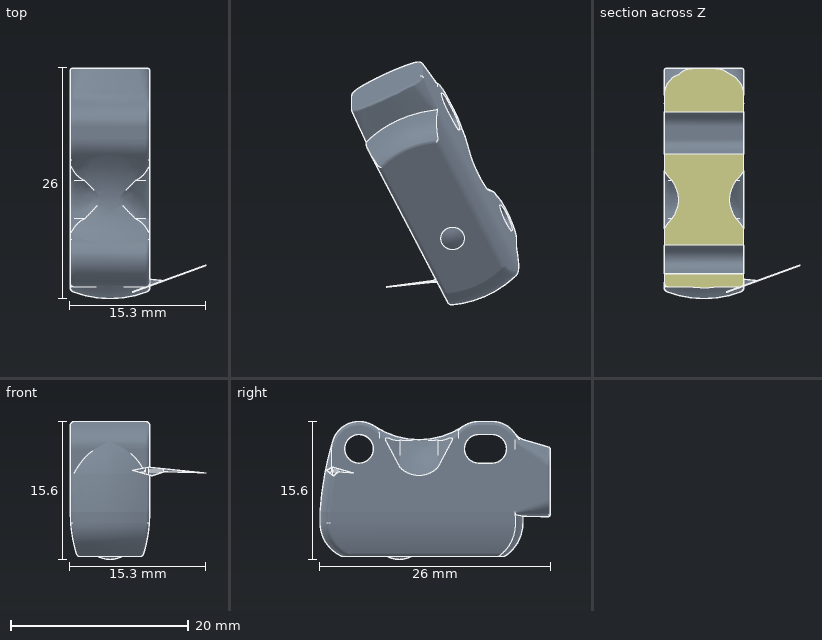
import cadquery as cq
import math

half_width = 4.5

lobe_radius = 3.1
hole_radius = 1.6
slot_near_y = 13.5
slot_far_y = 15.0
lobe_round = 0.5

valley_y = slot_near_y / 2
saddle_radius = 9.0
saddle_side_angle_deg = 48.0
valley_half_width = 2.15
valley_edge_z = -2.07
valley_floor_z = -3.0
waist_half_width = 0.75
shoulder_x = 2.8
shoulder_floor_z = 0.1
valley_top_z = 4.0

tub_top_z = -7.13
tub_bottom_z = -12.15
tub_straight_z = -8.33
tub_bottom_half_width = 3.7
crown_radius = 11.7
nose_y = -4.42
nose_mid_y = -3.87
nose_mid_z = -2.8
nose_top_y = -2.94
nose_top_z = 0.98
front_toe_y = -1.9
rear_y = 18.5
rear_toe_y = 16.4
tub_edge_round = 0.5
tub_height = nose_top_z - tub_bottom_z
tub_end_margin = 1.0

tail_end_y = 21.57
tail_root_y = 17.6
tail_end_top = (0.16, 3.2, -0.35, -2.2)
tail_end_bottom = (-7.69, 3.2, -7.4, -5.7)
tail_root_top = (1.32, 4.1, 1.1, 0.68)
tail_root_bottom = (-7.6, 4.1, -7.45, -7.2)
tail_end_round = 0.3
tail_crease_round = 1.8
crease_half_width = 4.3

button_y = 4.54
button_radius = 1.34
button_height = 0.33

spur_tip_x = 10.82
spur_tip_y = -0.65
spur_tip_z = -2.72
spur_root_x = 2.53
spur_root_z = -2.42
spur_slope_deg = 20.0
spur_thickness = 0.08
spur_top_z = -2.06
spur_low_z = -3.05
spur_neck_x = 6.1
spur_neck_z = -2.6
spur_wall_x = 4.4
spur_low_x = 4.75
spur_web_y = -2.2
spur_web_height = 0.2


def prism(sketch):
    """Extrude a YZ outline across the full width."""
    return sketch.extrude(half_width, both=True)


def yz():
    return cq.Workplane("YZ")


def tangent_point(center_y, edge_y):
    """Point where the valley flank from the valley edge touches a lobe circle."""
    dy = center_y - edge_y
    dz = -valley_edge_z
    reach = math.hypot(dy, dz)
    flank_length = math.sqrt(reach**2 - lobe_radius**2)
    angle = math.atan2(dz, abs(dy)) + math.asin(lobe_radius / reach)
    return (
        edge_y + math.copysign(flank_length * math.cos(angle), dy),
        valley_edge_z + flank_length * math.sin(angle),
    )


def rounded_lobe(outline):
    return prism(outline).faces("<X or >X").edges().fillet(lobe_round)


def make_front_lobe():
    edge_y = valley_y - valley_half_width
    outline = (
        yz()
        .moveTo(-lobe_radius, tub_top_z)
        .lineTo(-lobe_radius, 0)
        .threePointArc((0, lobe_radius), tangent_point(0, edge_y))
        .lineTo(edge_y, valley_edge_z)
        .lineTo(edge_y, tub_top_z)
        .close()
    )
    return rounded_lobe(outline)


def make_rear_lobe():
    edge_y = valley_y + valley_half_width
    diagonal = lobe_radius * math.sqrt(0.5)
    outline = (
        yz()
        .moveTo(slot_far_y + lobe_radius, tub_top_z)
        .lineTo(slot_far_y + lobe_radius, 0)
        .threePointArc((slot_far_y + diagonal, diagonal), (slot_far_y, lobe_radius))
        .lineTo(slot_near_y, lobe_radius)
        .threePointArc((slot_near_y - diagonal, diagonal), tangent_point(slot_near_y, edge_y))
        .lineTo(edge_y, valley_edge_z)
        .lineTo(edge_y, tub_top_z)
        .close()
    )
    return rounded_lobe(outline)


def make_core():
    """Full-width block under the lobes, hollowed by the valley floor arc."""
    outline = (
        yz()
        .moveTo(0, tub_top_z)
        .lineTo(0, valley_edge_z)
        .lineTo(valley_y - valley_half_width, valley_edge_z)
        .threePointArc((valley_y, valley_floor_z), (valley_y + valley_half_width, valley_edge_z))
        .lineTo(tail_root_y, valley_edge_z)
        .lineTo(tail_root_y, tub_top_z)
        .close()
    )
    return prism(outline)


def valley_section(x, floor_z):
    """Valley profile at x: round floor and straight flanks, open above the lobes."""
    edge_z = valley_edge_z + floor_z - valley_floor_z
    near_y = valley_y - valley_half_width
    far_y = valley_y + valley_half_width
    touch_y, touch_z = tangent_point(0, near_y)
    flank_run = (near_y - touch_y) / (touch_z - valley_edge_z)
    spread = flank_run * (valley_top_z - edge_z)
    wire = (
        cq.Workplane("YZ", origin=(x, 0, 0))
        .moveTo(near_y - spread, valley_top_z)
        .lineTo(near_y, edge_z)
        .threePointArc((valley_y, floor_z), (far_y, edge_z))
        .lineTo(far_y + spread, valley_top_z)
        .close()
    )
    return wire.val()


def saddle_arc(touch_angle):
    """Touch point on the front lobe and floor height of the arc tangent to both lobes.

    The angle locates the touch point on the lobe, measured from its crest.
    """
    radius = valley_y / math.sin(touch_angle) - lobe_radius
    floor_z = valley_y / math.tan(touch_angle) - radius
    touch_y = lobe_radius * math.sin(touch_angle)
    touch_z = lobe_radius * math.cos(touch_angle)
    return touch_y, touch_z, floor_z


def ridge_section(x, touch_angle):
    touch_y, touch_z, floor_z = saddle_arc(touch_angle)
    wire = (
        cq.Workplane("YZ", origin=(x, 0, 0))
        .moveTo(touch_y, touch_z)
        .threePointArc((valley_y, floor_z), (slot_near_y - touch_y, touch_z))
        .lineTo(slot_near_y - touch_y, tub_top_z)
        .lineTo(touch_y, tub_top_z)
        .close()
    )
    return wire.val()


def make_saddle():
    """Ridge between the lobes, lower at its sides and cut there by a deepening valley."""
    middle_angle = math.asin(valley_y / (lobe_radius + saddle_radius))
    side_angle = math.radians(saddle_side_angle_deg)
    ridge_sections = [
        ridge_section(-half_width, side_angle),
        ridge_section(0, middle_angle),
        ridge_section(half_width, side_angle),
    ]
    ridge = cq.Workplane(cq.Solid.makeLoft(ridge_sections, False))
    ridge = ridge.faces("<X or >X").edges(">Z").fillet(lobe_round)

    middle_floor_z = saddle_arc(middle_angle)[2]
    valley_sections = [
        valley_section(waist_half_width, middle_floor_z),
        valley_section(shoulder_x, shoulder_floor_z),
        valley_section(half_width, valley_floor_z),
    ]
    valley = cq.Workplane(cq.Solid.makeLoft(valley_sections, False))
    return ridge.cut(valley).cut(valley.mirror("YZ"))


def crowned_end(profile, axis_y, away):
    """Revolve an end profile about a vertical axis and continue it as a block.

    The block runs along Y from the axis, towards +Y or -Y as away is 1 or -1,
    so that only the crowned end limits a body it is intersected with.
    """
    span = 2 * crown_radius
    crown = profile.revolve(360, (axis_y, 0), (axis_y, 1))
    block = cq.Workplane().box(span, span, tub_height, centered=(True, True, False))
    return crown.union(block.translate((0, axis_y + away * span / 2, tub_bottom_z)))


def make_front_end():
    axis_y = nose_y + crown_radius
    profile = (
        yz()
        .moveTo(axis_y, nose_top_z)
        .lineTo(nose_top_y, nose_top_z)
        .threePointArc((nose_mid_y, nose_mid_z), (nose_y, tub_top_z))
        .lineTo(nose_y, tub_straight_z)
        .tangentArcPoint((front_toe_y, tub_bottom_z), relative=False)
        .lineTo(axis_y, tub_bottom_z)
        .close()
    )
    return crowned_end(profile, axis_y, 1)


def make_rear_end():
    axis_y = rear_y - crown_radius
    profile = (
        yz()
        .moveTo(axis_y, nose_top_z)
        .lineTo(rear_y, nose_top_z)
        .lineTo(rear_y, tub_straight_z)
        .tangentArcPoint((rear_toe_y, tub_bottom_z), relative=False)
        .lineTo(axis_y, tub_bottom_z)
        .close()
    )
    return crowned_end(profile, axis_y, -1)


def make_tub_walls():
    """Long body whose sides are upright above the tub top and curve inwards below it."""
    inset = half_width - tub_bottom_half_width
    depth = tub_top_z - tub_bottom_z
    side_radius = (inset**2 + depth**2) / (2 * inset)
    mid_angle = math.asin(depth / side_radius) / 2
    mid_x = half_width - side_radius * (1 - math.cos(mid_angle))
    mid_z = tub_top_z - side_radius * math.sin(mid_angle)
    return (
        cq.Workplane("XZ", origin=(0, rear_y + tub_end_margin, 0))
        .moveTo(-half_width, nose_top_z)
        .lineTo(-half_width, tub_top_z)
        .threePointArc((-mid_x, mid_z), (-tub_bottom_half_width, tub_bottom_z))
        .lineTo(tub_bottom_half_width, tub_bottom_z)
        .threePointArc((mid_x, mid_z), (half_width, tub_top_z))
        .lineTo(half_width, nose_top_z)
        .close()
        .extrude(rear_y - nose_y + 2 * tub_end_margin)
    )


def make_tub():
    tub = make_tub_walls().intersect(make_front_end()).intersect(make_rear_end())
    tub = tub.faces("<X or >X").edges("not #X").fillet(tub_edge_round)
    tub = tub.faces("<Z").edges().fillet(tub_edge_round)

    length = rear_y + tub_end_margin
    width = 2 * half_width + tub_end_margin
    upper = cq.Workplane().box(width, length, tub_height, centered=(True, False, False))
    return tub.cut(upper.translate((0, 0, tub_top_z)))


def crown_tangent(rise, crown_half_width):
    """Direction of a crown arc, with the given rise, at its outer end."""
    angle = 2 * math.atan(rise / crown_half_width)
    return math.cos(angle), math.sin(angle)


def tail_section(y, top, bottom):
    """Tail cross-section: crowned top and bottom, corners blending into upright sides.

    Each of top and bottom is (middle z, crown half width, crown edge z, side z).
    """
    top_z, top_x, top_edge_z, top_side_z = top
    bottom_z, bottom_x, bottom_edge_z, bottom_side_z = bottom
    top_dx, top_dz = crown_tangent(top_z - top_edge_z, top_x)
    bottom_dx, bottom_dz = crown_tangent(bottom_edge_z - bottom_z, bottom_x)
    up = (0, 1)
    down = (0, -1)

    right_bottom = [(bottom_x, bottom_edge_z), (half_width, bottom_side_z)]
    right_top = [(half_width, top_side_z), (top_x, top_edge_z)]
    left_top = [(-top_x, top_edge_z), (-half_width, top_side_z)]
    left_bottom = [(-half_width, bottom_side_z), (-bottom_x, bottom_edge_z)]
    wire = (
        cq.Workplane("XZ", origin=(0, y, 0))
        .moveTo(*left_bottom[1])
        .threePointArc((0, bottom_z), right_bottom[0])
        .spline(right_bottom, tangents=[(bottom_dx, bottom_dz), up])
        .lineTo(*right_top[0])
        .spline(right_top, tangents=[up, (-top_dx, top_dz)])
        .threePointArc((0, top_z), left_top[0])
        .spline(left_top, tangents=[(-top_dx, -top_dz), down])
        .lineTo(*left_bottom[0])
        .spline(left_bottom, tangents=[down, (bottom_dx, -bottom_dz)])
        .close()
    )
    return wire.val()


def make_tail():
    root = tail_section(tail_root_y, tail_root_top, tail_root_bottom)
    end = tail_section(tail_end_y, tail_end_top, tail_end_bottom)
    tail = cq.Workplane(cq.Solid.makeLoft([root, end], True))
    return tail.faces(">Y").edges().fillet(tail_end_round)


def make_tail_with_lobe():
    """Rear lobe and tail joined, with the crease between them rounded."""
    joined = make_rear_lobe().union(make_tail())
    crease_high_z = tail_root_top[0]
    crease_low_z = tail_root_top[3]
    crease = cq.selectors.BoxSelector(
        (-crease_half_width, tail_root_y, crease_low_z),
        (crease_half_width, slot_far_y + lobe_radius, crease_high_z),
    )
    return joined.edges(crease).fillet(tail_crease_round)


def make_button():
    ball_radius = (button_radius**2 + button_height**2) / (2 * button_height)
    center_z = tub_bottom_z - button_height + ball_radius
    return cq.Workplane().sphere(ball_radius).translate((0, button_y, center_z))


def make_spur():
    """Thin pointed blade running out from the nose, with a small web at its root."""
    slope = math.tan(math.radians(spur_slope_deg))
    root_y = spur_tip_y - slope * (spur_tip_x - spur_root_x)

    def along(x):
        return (x - spur_root_x) / math.cos(math.radians(spur_slope_deg))

    blade_plane = cq.Plane(
        origin=(spur_root_x, root_y, 0),
        xDir=(1, slope, 0),
        normal=(slope, -1, 0),
    )
    blade = (
        cq.Workplane(blade_plane)
        .moveTo(along(spur_root_x), spur_root_z)
        .lineTo(along(spur_wall_x), spur_top_z)
        .lineTo(along(spur_tip_x), spur_tip_z)
        .lineTo(along(spur_neck_x), spur_neck_z)
        .lineTo(along(spur_low_x), spur_low_z)
        .close()
        .extrude(spur_thickness / 2, both=True)
    )
    web = (
        cq.Workplane(origin=(0, 0, spur_neck_z))
        .moveTo(spur_wall_x, spur_web_y)
        .lineTo(spur_neck_x, root_y + slope * (spur_neck_x - spur_root_x))
        .lineTo(spur_wall_x, root_y + slope * (spur_wall_x - spur_root_x))
        .close()
        .extrude(spur_web_height)
    )
    return blade.union(web)


def make_holes():
    slot_length = slot_far_y - slot_near_y + 2 * hole_radius
    slot_center_y = (slot_near_y + slot_far_y) / 2
    round_hole = prism(yz().circle(hole_radius))
    slot = prism(yz().center(slot_center_y, 0).slot2D(slot_length, 2 * hole_radius))
    return round_hole.union(slot)


result = make_core()
for piece in (
    make_front_lobe(),
    make_tail_with_lobe(),
    make_saddle(),
    make_tub(),
    make_button(),
    make_spur(),
):
    result = result.union(piece)
result = result.cut(make_holes())